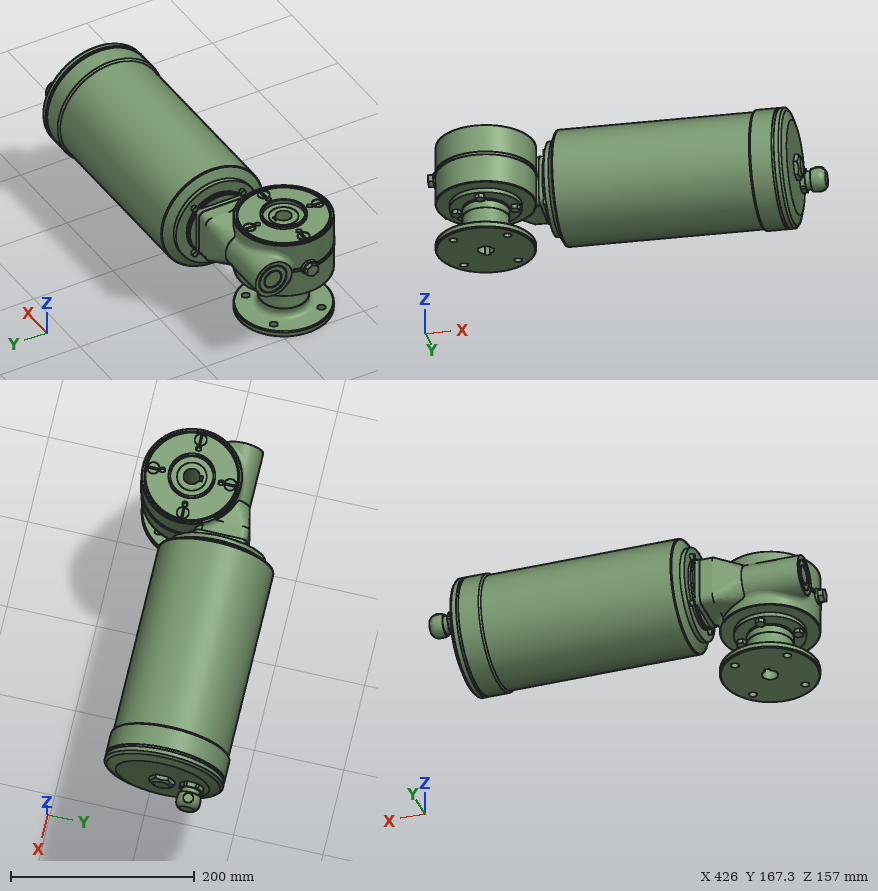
import cadquery as cq
import math


OVERALL_LENGTH = 426
WORM_Y = 45.0

HOUSING_R = 55.0
HOUSING_HALF_HEIGHT = 35.0
PARTING_R = 55.8
PARTING_HALF_WIDTH = 1.5
EDGE_CHAMFER = 1.0
COVER_R = 50.2
COVER_GROOVE_WIDTH = 1.5
COVER_GROOVE_DEPTH = 1.0

COLLAR_OD = 51.0
COLLAR_ID = 47.0
COLLAR_TOP_Z = 37.5
COLLAR_FLOOR_Z = 33.0
HUB_D = 32.5
HUB_TOP_Z = 34.0
HUB_BEVEL_HEIGHT = 0.5
HUB_BEVEL_WIDTH = 2.5

BORE_D = 18.0
KEYWAY_WIDTH = 6.0
KEYWAY_TOP = 12.0

COVER_BOLT_PITCH_R = 32.8
TAPPED_HOLE_D = 6.0
TAPPED_HOLE_DEPTH = 6.5
COVER_SCREW_PITCH_R = 43.0
COVER_SCREW_D = 13.0
COVER_SCREW_SINK = 1.0
SCREW_SLOT_WIDTH = 1.5
SCREW_SLOT_DEPTH = 1.3

PAD_R = 39.5
PAD_BOTTOM_Z = -40.0
BOLT_FLATS = 10.0
BOLT_HEAD_HEIGHT = 5.0
NECK_UNDERCUT_R = 25.0
NECK_UNDERCUT_Z = -42.0
NECK_COLLAR_R = 26.0
NECK_COLLAR_Z = -51.5
NECK_TOP_R = 25.5
NECK_BOTTOM_R = 27.5
NECK_TAPER_TOP_Z = -55.0
NECK_TAPER_BOTTOM_Z = -69.5
NECK_BEAD_R = 28.0
NECK_BEAD_Z = -72.0
NECK_FLARE_Z = -75.5
FLARE_R = 35.8
FLARE_MID_OFFSET = 2.0
FLANGE_R = HOUSING_R
FLANGE_BOTTOM_Z = -90.5
FLANGE_THICKNESS = 7.5
FLANGE_CHAMFER = 1.3
FLANGE_HOLE_D = 9.0
FLANGE_HOLE_PITCH_R = 42.5

WORM_D = 44.3
WORM_START_X = -54.5
BLEND_R = 6.0
WORM_CAP_RINGS = (35.0, 22.0)
WORM_CAP_RING_WIDTH = 1.0
WORM_CAP_RING_DEPTH = 0.5

TRANSITION_START_X = 10.2
TRANSITION_CORNER_R = 21.7
BLOCK_START_X = 41.5
BLOCK_END_X = 55.8
BLOCK_SIDE = 58.0
BLOCK_CORNER_R = 7.5
ADAPTER_SIDE = 59.0
ADAPTER_CORNER_R = 8.0
SPIGOT_START_X = 61.0
SPIGOT_R = 37.5
SPIGOT_RIM_X = 63.0
SPIGOT_RIM_R = 39.0

MOTOR_PLATE_X = 65.5
MOTOR_PLATE_R = 52.5
BELL_START_X = 70.5
BELL_END_X = 76.2
BELL_END_R = 63.5
BODY_START_X = 77.5
BODY_R = 64.5
CAP_START_X = 295.5
CAP_R = 66.5
CAP_CHAMFER = 2.0
CAP_GROOVE_X = 321.0
CAP_GROOVE_WIDTH = 2.5
CAP_GROOVE_DEPTH = 1.0
CAP_SHOULDER_X = 328.7
CAP_BEVEL_X = 331.3
CAP_BEVEL_R = 63.5
CAP_FACE_X = 335.0
CAP_FACE_R = 52.5
ADAPTER_BOLT_OFFSET = 30.2
ADAPTER_BOLT_D = 6.5
ADAPTER_BOLT_LENGTH = 4.3

OIL_PLUG_ROOT_X = -50.5
OIL_PLUG_SEAT_X = -53.2
OIL_PLUG_SEAT_R = 10.0
OIL_PLUG_HEAD_X = -57.0
OIL_PLUG_HEAD_R = 8.0
OIL_PLUG_END_X = -63.0
OIL_PLUG_FLATS = 13.0

GLAND_OFFSET_Y = 33.0
GLAND_HEX_FLATS = 24.3
GLAND_HEX_D = 26.5
GLAND_HEX_LENGTH = 5.5
GLAND_NECK_R = 10.2
GLAND_NUT_START_X = 346.5
GLAND_NUT_LEAD_R = 12.5
GLAND_NUT_LEAD_X = 350.5
GLAND_NUT_R = 13.0
GLAND_NUT_ROUND_X = 355.5
GLAND_ROUND_MID_X = 360.2
GLAND_ROUND_MID_R = 11.5
GLAND_END_X = OIL_PLUG_END_X + OVERALL_LENGTH
GLAND_END_R = 8.5
GLAND_PAD_D = 11.0
GLAND_PAD_X = 354.0

CAP_PLUG_FLATS = 24.5
CAP_PLUG_LENGTH = 7.0
CAP_PLUG_RIM_LENGTH = 4.0
CAP_PLUG_FACE_R = 10.0


def cylinder_z(diameter, z_low, z_high):
    return cq.Workplane("XY").workplane(offset=z_low).circle(diameter / 2).extrude(z_high - z_low)


def at_x(x, y=WORM_Y):
    """YZ workplane with its origin at the given point."""
    return cq.Workplane("YZ", origin=(x, y, 0))


def hexagon_corner_d(flats):
    """Corner diameter of a hexagon with the given width across flats."""
    return flats / math.cos(math.pi / 6)


def spin_about_x(profile, y):
    """Revolve an (x, radius) outline about a line parallel to X."""
    return cq.Workplane("XY", origin=(0, y, 0)).polyline(profile).close().revolve(360, (0, 0, 0), (1, 0, 0))


def four_around_z(shape, start_angle=0):
    """Four copies of a shape at quarter turns about the output shaft."""
    copies = cq.Workplane("XY")
    for quarter in range(4):
        copies = copies.add(shape.rotate((0, 0, 0), (0, 0, 1), start_angle + 90 * quarter))
    return copies.combine()


def make_housing():
    """Round gearbox drum blended into the worm case, which is cut flat at its closed end."""
    drum = cylinder_z(2 * HOUSING_R, -HOUSING_HALF_HEIGHT, HOUSING_HALF_HEIGHT)
    over_long_start_x = WORM_START_X - WORM_D / 2
    worm_case = at_x(over_long_start_x).circle(WORM_D / 2).extrude(BLOCK_END_X - over_long_start_x)
    housing = drum.union(worm_case)
    housing = housing.edges(cq.selectors.TypeSelector("BSPLINE")).fillet(BLEND_R)
    housing = housing.faces("|Z").edges().chamfer(EDGE_CHAMFER)
    excess_side = WORM_D + 2 * BLEND_R
    excess = at_x(over_long_start_x).rect(excess_side, excess_side).extrude(WORM_START_X - over_long_start_x)
    parting_band = cylinder_z(2 * PARTING_R, -PARTING_HALF_WIDTH, PARTING_HALF_WIDTH)
    return housing.cut(excess).union(parting_band)


def make_worm_cap_rings():
    rings = cq.Workplane("XY")
    for diameter in WORM_CAP_RINGS:
        ring = at_x(WORM_START_X).circle(diameter / 2).circle(diameter / 2 - WORM_CAP_RING_WIDTH)
        rings = rings.add(ring.extrude(WORM_CAP_RING_DEPTH))
    return rings.combine()


def rounded_square(side, corner_r):
    return cq.Sketch().rect(side, side).vertices().fillet(corner_r)


def make_adapter():
    """Round-to-square transition, square block, flange and spigot that join the worm case to the motor."""
    block_profile = rounded_square(BLOCK_SIDE, BLOCK_CORNER_R)
    transition = at_x(TRANSITION_START_X).placeSketch(
        rounded_square(WORM_D, TRANSITION_CORNER_R),
        block_profile.moved(cq.Location(cq.Vector(0, 0, BLOCK_START_X - TRANSITION_START_X))),
    ).loft()
    block = at_x(BLOCK_START_X).placeSketch(block_profile).extrude(BLOCK_END_X - BLOCK_START_X)
    flange_profile = rounded_square(ADAPTER_SIDE, ADAPTER_CORNER_R)
    flange = at_x(BLOCK_END_X).placeSketch(flange_profile).extrude(MOTOR_PLATE_X - BLOCK_END_X)
    spigot = at_x(SPIGOT_START_X).circle(SPIGOT_R).extrude(MOTOR_PLATE_X - SPIGOT_START_X)
    rim = at_x(SPIGOT_RIM_X).circle(SPIGOT_RIM_R).extrude(MOTOR_PLATE_X - SPIGOT_RIM_X)
    return transition.union(block).union(flange).union(spigot).union(rim)


def make_block_blends():
    """Concave blends from the drum wall onto the upper and lower flats of the square block."""
    flat_z = BLOCK_SIDE / 2
    blend_top_z = flat_z + BLEND_R
    blend_outer_r = HOUSING_R + BLEND_R
    arc_reach = BLEND_R * (1 - math.sqrt(0.5))
    buried_r = HOUSING_R - BLEND_R
    ring = (
        cq.Workplane("XZ")
        .moveTo(buried_r, flat_z)
        .lineTo(blend_outer_r, flat_z)
        .threePointArc((HOUSING_R + arc_reach, flat_z + arc_reach), (HOUSING_R, blend_top_z))
        .lineTo(buried_r, blend_top_z)
        .close()
        .revolve(360, (0, 0, 0), (0, 1, 0))
    )
    flat_start_y = WORM_Y - BLOCK_SIDE / 2 + BLOCK_CORNER_R
    zone = cq.Workplane("XY", origin=(BLOCK_START_X, flat_start_y, 0)).box(
        BLOCK_END_X - BLOCK_START_X, WORM_Y - flat_start_y, HOUSING_HALF_HEIGHT, centered=False
    )
    upper_blend = ring.intersect(zone)
    return upper_blend.union(upper_blend.mirror("XY"))


def make_output_flange():
    flange_top_z = FLANGE_BOTTOM_Z + FLANGE_THICKNESS
    flare_mid = (NECK_BEAD_R + FLARE_MID_OFFSET, flange_top_z + FLARE_MID_OFFSET)
    profile = (
        cq.Workplane("XZ")
        .moveTo(0, -HOUSING_HALF_HEIGHT)
        .lineTo(PAD_R, -HOUSING_HALF_HEIGHT)
        .lineTo(PAD_R, PAD_BOTTOM_Z)
        .lineTo(NECK_UNDERCUT_R, PAD_BOTTOM_Z)
        .lineTo(NECK_UNDERCUT_R, NECK_UNDERCUT_Z)
        .lineTo(NECK_COLLAR_R, NECK_UNDERCUT_Z)
        .lineTo(NECK_COLLAR_R, NECK_COLLAR_Z)
        .lineTo(NECK_TOP_R, NECK_COLLAR_Z)
        .lineTo(NECK_TOP_R, NECK_TAPER_TOP_Z)
        .lineTo(NECK_BOTTOM_R, NECK_TAPER_BOTTOM_Z)
        .lineTo(NECK_BOTTOM_R, NECK_BEAD_Z)
        .lineTo(NECK_BEAD_R, NECK_BEAD_Z)
        .lineTo(NECK_BEAD_R, NECK_FLARE_Z)
        .threePointArc(flare_mid, (FLARE_R, flange_top_z))
        .lineTo(FLANGE_R - FLANGE_CHAMFER, flange_top_z)
        .lineTo(FLANGE_R, flange_top_z - FLANGE_CHAMFER)
        .lineTo(FLANGE_R, FLANGE_BOTTOM_Z + FLANGE_CHAMFER)
        .lineTo(FLANGE_R - FLANGE_CHAMFER, FLANGE_BOTTOM_Z)
        .lineTo(0, FLANGE_BOTTOM_Z)
        .close()
    )
    flange = profile.revolve(360, (0, 0, 0), (0, 1, 0))
    hole = cylinder_z(FLANGE_HOLE_D, FLANGE_BOTTOM_Z, flange_top_z)
    return flange.cut(four_around_z(hole.translate((FLANGE_HOLE_PITCH_R, 0, 0)), 45))


def make_pad_bolts():
    head = (
        cq.Workplane("XY", origin=(COVER_BOLT_PITCH_R, 0, PAD_BOTTOM_Z))
        .polygon(6, hexagon_corner_d(BOLT_FLATS))
        .extrude(-BOLT_HEAD_HEIGHT)
    )
    return four_around_z(head)


def make_collar():
    return cylinder_z(COLLAR_OD, HOUSING_HALF_HEIGHT, COLLAR_TOP_Z)


def make_collar_recess():
    """Pocket inside the collar that leaves the bevelled hollow-shaft hub standing."""
    hub = cylinder_z(HUB_D, COLLAR_FLOOR_Z, HUB_TOP_Z)
    hub = hub.faces(">Z").edges().chamfer(HUB_BEVEL_HEIGHT, HUB_BEVEL_WIDTH)
    return cylinder_z(COLLAR_ID, COLLAR_FLOOR_Z, COLLAR_TOP_Z).cut(hub)


def make_cover_groove():
    top = HOUSING_HALF_HEIGHT
    disc = cylinder_z(2 * (COVER_R + COVER_GROOVE_WIDTH), top - COVER_GROOVE_DEPTH, top)
    return disc.cut(cylinder_z(2 * COVER_R, top - COVER_GROOVE_DEPTH, top))


def make_cover_screw_cuts():
    top = HOUSING_HALF_HEIGHT
    slot_bottom = top - COVER_SCREW_SINK - SCREW_SLOT_DEPTH
    sink = cylinder_z(COVER_SCREW_D, top - COVER_SCREW_SINK, top)
    slot = cq.Workplane("XY", origin=(0, 0, slot_bottom)).rect(COVER_SCREW_D, SCREW_SLOT_WIDTH)
    screw = sink.union(slot.extrude(top - slot_bottom)).translate((COVER_SCREW_PITCH_R, 0, 0))
    hole = cylinder_z(TAPPED_HOLE_D, top - TAPPED_HOLE_DEPTH, top).translate((COVER_BOLT_PITCH_R, 0, 0))
    return four_around_z(screw.union(hole))


def make_keyed_bore():
    bore = cylinder_z(BORE_D, FLANGE_BOTTOM_Z, COLLAR_TOP_Z)
    keyway = (
        cq.Workplane("XY", origin=(0, KEYWAY_TOP / 2, FLANGE_BOTTOM_Z))
        .rect(KEYWAY_WIDTH, KEYWAY_TOP)
        .extrude(COLLAR_TOP_Z - FLANGE_BOTTOM_Z)
    )
    return bore.union(keyway)


def make_motor():
    groove_end_x = CAP_GROOVE_X + CAP_GROOVE_WIDTH
    groove_r = CAP_R - CAP_GROOVE_DEPTH
    return spin_about_x(
        [
            (MOTOR_PLATE_X, 0),
            (MOTOR_PLATE_X, MOTOR_PLATE_R),
            (BELL_START_X, MOTOR_PLATE_R),
            (BELL_END_X, BELL_END_R),
            (BODY_START_X, BELL_END_R),
            (BODY_START_X, BODY_R),
            (CAP_START_X, BODY_R),
            (CAP_START_X + CAP_CHAMFER, CAP_R),
            (CAP_GROOVE_X, CAP_R),
            (CAP_GROOVE_X, groove_r),
            (groove_end_x, groove_r),
            (groove_end_x, CAP_R),
            (CAP_SHOULDER_X, CAP_R),
            (CAP_BEVEL_X, CAP_BEVEL_R),
            (CAP_FACE_X, CAP_FACE_R),
            (CAP_FACE_X, 0),
        ],
        WORM_Y,
    )


def make_adapter_bolts():
    square = at_x(MOTOR_PLATE_X).rect(2 * ADAPTER_BOLT_OFFSET, 2 * ADAPTER_BOLT_OFFSET, forConstruction=True)
    return square.vertices().circle(ADAPTER_BOLT_D / 2).extrude(-ADAPTER_BOLT_LENGTH)


def make_cable_gland():
    gland_y = WORM_Y + GLAND_OFFSET_Y
    base = at_x(CAP_FACE_X, gland_y).polygon(6, hexagon_corner_d(GLAND_HEX_FLATS)).extrude(GLAND_HEX_LENGTH)
    base = base.intersect(at_x(CAP_FACE_X, gland_y).circle(GLAND_HEX_D / 2).extrude(GLAND_HEX_LENGTH))
    profile = (
        cq.Workplane("XY", origin=(0, gland_y, 0))
        .moveTo(CAP_FACE_X, 0)
        .lineTo(CAP_FACE_X, GLAND_NECK_R)
        .lineTo(GLAND_NUT_START_X, GLAND_NECK_R)
        .lineTo(GLAND_NUT_START_X, GLAND_NUT_LEAD_R)
        .lineTo(GLAND_NUT_LEAD_X, GLAND_NUT_R)
        .lineTo(GLAND_NUT_ROUND_X, GLAND_NUT_R)
        .threePointArc((GLAND_ROUND_MID_X, GLAND_ROUND_MID_R), (GLAND_END_X, GLAND_END_R))
        .lineTo(GLAND_END_X, 0)
        .close()
    )
    body = profile.revolve(360, (0, 0, 0), (1, 0, 0))
    pad = cylinder_z(GLAND_PAD_D, 0, GLAND_NUT_R).translate((GLAND_PAD_X, gland_y, 0))
    return base.union(body).union(pad)


def make_cap_plug():
    corner_r = hexagon_corner_d(CAP_PLUG_FLATS) / 2
    plug = at_x(CAP_FACE_X).polygon(6, 2 * corner_r).extrude(CAP_PLUG_LENGTH)
    dome = spin_about_x(
        [
            (CAP_FACE_X, 0),
            (CAP_FACE_X, corner_r),
            (CAP_FACE_X + CAP_PLUG_RIM_LENGTH, corner_r),
            (CAP_FACE_X + CAP_PLUG_LENGTH, CAP_PLUG_FACE_R),
            (CAP_FACE_X + CAP_PLUG_LENGTH, 0),
        ],
        WORM_Y,
    )
    return plug.intersect(dome)


def make_oil_plug():
    seat = spin_about_x(
        [
            (OIL_PLUG_ROOT_X, 0),
            (OIL_PLUG_ROOT_X, OIL_PLUG_SEAT_R),
            (OIL_PLUG_SEAT_X, OIL_PLUG_SEAT_R),
            (OIL_PLUG_HEAD_X, OIL_PLUG_HEAD_R),
            (OIL_PLUG_HEAD_X, 0),
        ],
        0,
    )
    head = (
        at_x(OIL_PLUG_END_X, 0)
        .transformed(rotate=(0, 0, 90))
        .polygon(6, hexagon_corner_d(OIL_PLUG_FLATS))
        .extrude(OIL_PLUG_HEAD_X - OIL_PLUG_END_X)
    )
    return seat.union(head)


result = (
    make_housing()
    .union(make_adapter())
    .union(make_block_blends())
    .cut(make_worm_cap_rings())
    .union(make_output_flange())
    .union(make_pad_bolts())
    .union(make_collar())
    .union(make_motor())
    .union(make_adapter_bolts())
    .union(make_cable_gland())
    .union(make_cap_plug())
    .union(make_oil_plug())
    .cut(make_collar_recess())
    .cut(make_cover_groove())
    .cut(make_cover_screw_cuts())
    .cut(make_keyed_bore())
)